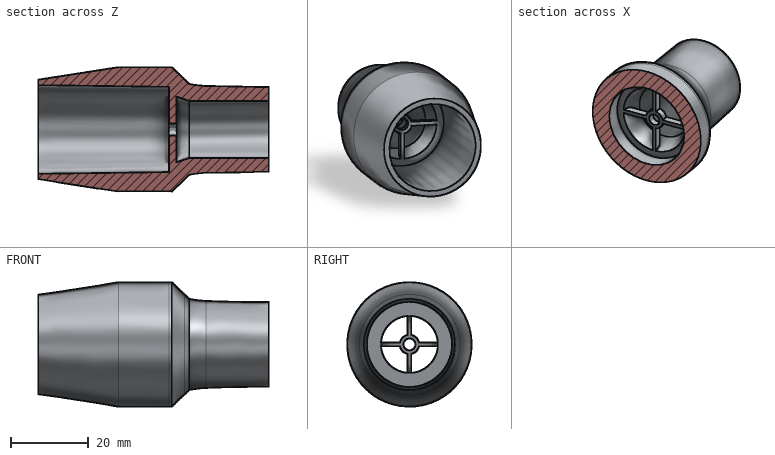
import cadquery as cq

LENGTH = 59.14
BODY_START = 20.5
BODY_END = 33.5
SHOULDER_START = 34.3
SHOULDER_SPLIT = 37.5
NECK_START = 38.75
NECK_END = 43.0

MOUTH_RADIUS = 12.8
BODY_RADIUS = 16.0
NECK_START_RADIUS = 11.7
NECK_MIDDLE_RADIUS = 11.38
NECK_END_RADIUS = 11.2
TAIL_RADIUS = 10.9

SOCKET_DEPTH = BODY_END
SOCKET_MOUTH_RADIUS = 11.35
SOCKET_FLOOR_RADIUS = 10.9
FUNNEL_RADIUS = 9.05
THROAT_RADIUS = 7.28

HUB_RADIUS = 2.5
HUB_HOLE_DIAMETER = 3.0
SPOKE_WIDTH = 1.0
SPOKE_COUNT = 4
SPIDER_THICKNESS = 2.0
SPOKE_REACH = (FUNNEL_RADIUS + SOCKET_FLOOR_RADIUS) / 2


def revolve_about_x(profile):
    return profile.close().revolve(360, (0, 0, 0), (1, 0, 0), clean=False)


def make_outer_body():
    """Tapered mouth, cylindrical body, conical shoulder, curved neck and tapered tail."""
    shoulder_slope = (BODY_RADIUS - NECK_START_RADIUS) / (NECK_START - SHOULDER_START)
    split_radius = BODY_RADIUS - shoulder_slope * (SHOULDER_SPLIT - SHOULDER_START)
    neck_middle = (NECK_START + NECK_END) / 2
    profile = (
        cq.Workplane("XY")
        .lineTo(0, MOUTH_RADIUS)
        .lineTo(BODY_START, BODY_RADIUS)
        .lineTo(BODY_END, BODY_RADIUS)
        .lineTo(SHOULDER_START, BODY_RADIUS)
        .lineTo(SHOULDER_SPLIT, split_radius)
        .lineTo(NECK_START, NECK_START_RADIUS)
        .threePointArc((neck_middle, NECK_MIDDLE_RADIUS), (NECK_END, NECK_END_RADIUS))
        .lineTo(LENGTH, TAIL_RADIUS)
        .lineTo(LENGTH, 0)
    )
    return revolve_about_x(profile)


def make_bore():
    """Tapered socket, a funnel below its floor and a straight throat through the tail."""
    profile = (
        cq.Workplane("XY")
        .lineTo(0, SOCKET_MOUTH_RADIUS)
        .lineTo(SOCKET_DEPTH, SOCKET_FLOOR_RADIUS)
        .lineTo(SOCKET_DEPTH, FUNNEL_RADIUS)
        .lineTo(NECK_START, THROAT_RADIUS)
        .lineTo(LENGTH, THROAT_RADIUS)
        .lineTo(LENGTH, 0)
    )
    return revolve_about_x(profile)


def make_spider():
    """Hub with radial spokes that reach into the wall around the funnel."""
    floor_plane = cq.Workplane("YZ", origin=(SOCKET_DEPTH, 0, 0))
    spider = floor_plane.circle(HUB_RADIUS).extrude(SPIDER_THICKNESS)
    for index in range(SPOKE_COUNT):
        spoke = (
            floor_plane.center(SPOKE_REACH / 2, 0)
            .rect(SPOKE_REACH, SPOKE_WIDTH)
            .extrude(SPIDER_THICKNESS)
            .rotate((0, 0, 0), (1, 0, 0), index * 360 / SPOKE_COUNT)
        )
        spider = spider.union(spoke)
    hub_hole = floor_plane.circle(HUB_HOLE_DIAMETER / 2).extrude(SPIDER_THICKNESS)
    return spider.cut(hub_hole)


open_bore = make_bore().cut(make_spider())
result = make_outer_body().cut(open_bore, clean=False)